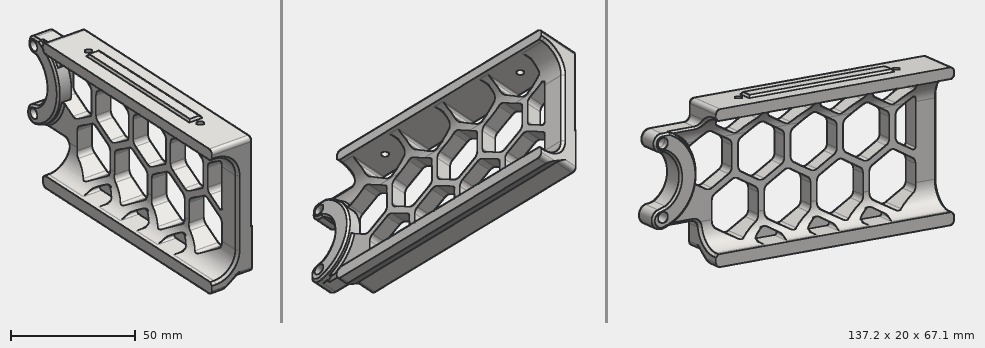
import cadquery as cq
import math

BODY_LEFT, BODY_RIGHT = 23.9, 137.2
BODY_DEPTH = 20.0
BODY_HEIGHT = 66.0
CORNER_RADIUS = 2.0
BACK_LEDGE_Z = 4.3
SLOPE_BACK_Y = -9.2
SLOPE_FRONT_Y = -15.4
BACK_CHAMFER = 0.5

WEB_THICKNESS = 7.4
LOWER_LIP_Z = 5.5
UPPER_LIP_Z = 61.0
LOWER_COVE_RADIUS = 10.7
UPPER_COVE_RADIUS = 11.0
CAVITY_CHAMFER = 1.2

RING_Z = 37.2
RING_OUTER_RADIUS = 21.1
BORE_RADIUS = 13.0
RING_DEPTH = 10.4
RING_CHAMFER = 1.0
RING_FLARE = 1.0
EAR_HOLE_X = 4.8
EAR_HOLE_SPACING = 30.9
EAR_HOLE_DIAMETER = 4.7
UPPER_EAR_RADIUS = 4.0
LOWER_EAR_RADIUS = 4.3
BRIDGE_BORE_X = 6.6
EAR_FILLET = 2.9

EAR_HOLE_OFFSET_Z = EAR_HOLE_SPACING / 2
EAR_TOP_Z = RING_Z + EAR_HOLE_OFFSET_Z + UPPER_EAR_RADIUS
LOWER_EAR_X = LOWER_EAR_RADIUS
LOWER_EAR_DROP = math.sqrt((RING_OUTER_RADIUS - LOWER_EAR_RADIUS) ** 2 - LOWER_EAR_X ** 2)
LOWER_EAR_Z = RING_Z - LOWER_EAR_DROP
EAR_BOTTOM_Z = LOWER_EAR_Z - LOWER_EAR_RADIUS

HEX_WIDTH = 22.0
HEX_PITCH = 25.0
HEX_ROW_PITCH = HEX_PITCH * math.cos(math.radians(30))
HEX_CORNER_RADIUS = 3.0
TRIM_CORNER_RADIUS = 1.0
HEX_CENTRE_X = 78.5
HEX_MIDDLE_Z = 41.1
MIDDLE_ROW_RIGHT = 126.9
UPPER_ROW_RIGHT = 125.6
POCKET_BACK_Y = -9.0

STRIP_LENGTH, STRIP_WIDTH, STRIP_HEIGHT = 69.0, 6.5, 1.1
STRIP_DRAFT = 35.0
TOP_HOLE_DIAMETER = 3.2
TOP_HOLE_SPACING = 3 * HEX_PITCH

SELECT_GAP = 0.07


def box(x0, x1, y0, y1, z0, z1):
    return cq.Workplane("XY").box(x1 - x0, y1 - y0, z1 - z0, centered=False).translate((x0, y0, z0))


def cylinder_y(x, z, radius, depth):
    """Cylinder along Y from the back face forward."""
    return cq.Workplane("XZ").center(x, z).circle(radius).extrude(depth)


def circle_point(x, z, radius, angle):
    a = math.radians(angle)
    return (x + radius * math.cos(a), z + radius * math.sin(a))


def ear_contour():
    """Open path from the foot of the lower ear, round the bore, to the crest of the upper ear."""
    ear_z = RING_Z + EAR_HOLE_OFFSET_Z
    ear_distance = math.hypot(EAR_HOLE_X, EAR_HOLE_OFFSET_Z)
    ear_angle = math.atan2(EAR_HOLE_OFFSET_Z, EAR_HOLE_X)
    bridge_bore = (BRIDGE_BORE_X, RING_Z - math.sqrt(BORE_RADIUS ** 2 - BRIDGE_BORE_X ** 2))
    to_bore_x, to_bore_z = bridge_bore[0] - LOWER_EAR_X, bridge_bore[1] - LOWER_EAR_Z
    tangent_angle = math.atan2(to_bore_z, to_bore_x) + math.acos(
        LOWER_EAR_RADIUS / math.hypot(to_bore_x, to_bore_z)
    )
    bridge_ear = circle_point(LOWER_EAR_X, LOWER_EAR_Z, LOWER_EAR_RADIUS, math.degrees(tangent_angle))
    squares = ear_distance ** 2 + BORE_RADIUS ** 2 - UPPER_EAR_RADIUS ** 2
    cosine = squares / (2 * ear_distance * BORE_RADIUS)
    crossing = circle_point(0, RING_Z, BORE_RADIUS, math.degrees(ear_angle - math.acos(cosine)))
    return (
        cq.Workplane("XZ")
        .moveTo(LOWER_EAR_X, EAR_BOTTOM_Z)
        .threePointArc((LOWER_EAR_X - LOWER_EAR_RADIUS, LOWER_EAR_Z), bridge_ear)
        .lineTo(*bridge_bore)
        .threePointArc((BORE_RADIUS, RING_Z), crossing)
        .threePointArc((EAR_HOLE_X - UPPER_EAR_RADIUS, ear_z), (EAR_HOLE_X, EAR_TOP_Z))
    )


def ring_outline():
    """C-shaped ring with its two ears."""
    top_corner_x = math.sqrt(RING_OUTER_RADIUS ** 2 - (EAR_TOP_Z - RING_Z) ** 2)
    lower_angle = math.degrees(math.atan2(-LOWER_EAR_DROP, LOWER_EAR_X))
    return (
        ear_contour()
        .lineTo(top_corner_x, EAR_TOP_Z)
        .threePointArc((RING_OUTER_RADIUS, RING_Z), circle_point(0, RING_Z, RING_OUTER_RADIUS, lower_angle))
        .tangentArcPoint((LOWER_EAR_X, EAR_BOTTOM_Z), relative=False)
        .close()
    )


def back_outline():
    """Back face of the part: the ear plate running into the rounded body."""
    return (
        ear_contour()
        .lineTo(BODY_LEFT - EAR_FILLET, EAR_TOP_Z)
        .tangentArcPoint((BODY_LEFT, EAR_TOP_Z + EAR_FILLET), relative=False)
        .lineTo(BODY_LEFT, BODY_HEIGHT - CORNER_RADIUS)
        .tangentArcPoint((BODY_LEFT + CORNER_RADIUS, BODY_HEIGHT), relative=False)
        .lineTo(BODY_RIGHT - CORNER_RADIUS, BODY_HEIGHT)
        .tangentArcPoint((BODY_RIGHT, BODY_HEIGHT - CORNER_RADIUS), relative=False)
        .lineTo(BODY_RIGHT, BACK_LEDGE_Z + CORNER_RADIUS)
        .tangentArcPoint((BODY_RIGHT - CORNER_RADIUS, BACK_LEDGE_Z), relative=False)
        .lineTo(BODY_LEFT + CORNER_RADIUS, BACK_LEDGE_Z)
        .tangentArcPoint((BODY_LEFT, BACK_LEDGE_Z + CORNER_RADIUS), relative=False)
        .lineTo(BODY_LEFT, EAR_BOTTOM_Z - EAR_FILLET)
        .tangentArcPoint((BODY_LEFT - EAR_FILLET, EAR_BOTTOM_Z), relative=False)
        .close()
    )


def back_block():
    """Back part of the body with the ear plate, bevelled round its upper back edges only."""
    block = back_outline().extrude(BODY_DEPTH)
    split_z = LOWER_EAR_Z + LOWER_EAR_RADIUS
    lower_half = block.intersect(box(0, BODY_RIGHT, -BODY_DEPTH, 0, 0, split_z))
    upper_half = block.intersect(box(0, BODY_RIGHT, -BODY_DEPTH, 0, split_z, BODY_HEIGHT))
    above_split = cq.selectors.BoxSelector(
        (-SELECT_GAP, -SELECT_GAP, split_z + SELECT_GAP),
        (BODY_RIGHT + SELECT_GAP, SELECT_GAP, BODY_HEIGHT + SELECT_GAP),
    )
    return upper_half.edges(above_split).chamfer(BACK_CHAMFER).union(lower_half)


def lip_block():
    """Front part of the body, bounded below by the sloped underside."""
    block = box(BODY_LEFT, BODY_RIGHT, -BODY_DEPTH, 0, 0, BODY_HEIGHT)
    slope = BACK_LEDGE_Z / (SLOPE_BACK_Y - SLOPE_FRONT_Y)
    slope_top_z = -SLOPE_FRONT_Y * slope
    side = (
        cq.Workplane("YZ")
        .polyline([(SLOPE_FRONT_Y, 0), (-BODY_DEPTH, 0), (-BODY_DEPTH, BODY_HEIGHT / 2),
                   (-BACK_CHAMFER, BODY_HEIGHT / 2), (-BACK_CHAMFER, slope_top_z - BACK_CHAMFER * slope)])
        .close()
        .extrude(BODY_RIGHT)
    )
    return block.edges("|Y").fillet(CORNER_RADIUS).intersect(side)


def cavity():
    """Space between the rails, with a cove running into each lip."""
    half = math.sqrt(0.5)
    web_y = -WEB_THICKNESS
    low_y, low_z = web_y - LOWER_COVE_RADIUS, LOWER_LIP_Z + LOWER_COVE_RADIUS
    high_y, high_z = web_y - UPPER_COVE_RADIUS, UPPER_LIP_Z - UPPER_COVE_RADIUS
    front_y = -BODY_DEPTH
    return (
        cq.Workplane("YZ")
        .moveTo(front_y, LOWER_LIP_Z)
        .lineTo(low_y, LOWER_LIP_Z)
        .threePointArc((low_y + LOWER_COVE_RADIUS * half, low_z - LOWER_COVE_RADIUS * half), (web_y, low_z))
        .lineTo(web_y, high_z)
        .threePointArc((high_y + UPPER_COVE_RADIUS * half, high_z + UPPER_COVE_RADIUS * half),
                       (high_y, UPPER_LIP_Z))
        .lineTo(front_y, UPPER_LIP_Z)
        .close()
        .extrude(BODY_RIGHT)
    )


def chamfer_cavity_rim(body):
    """Bevel the rim of the cavity at both ends and along the ear plate, up to the ear tips."""
    tips = body.intersect(box(0, BRIDGE_BORE_X, -BODY_DEPTH, 0, 0, BODY_HEIGHT))
    body = body.intersect(box(BRIDGE_BORE_X, BODY_RIGHT, -BODY_DEPTH, 0, 0, BODY_HEIGHT))
    rims = [
        (BRIDGE_BORE_X, BODY_LEFT, LOWER_LIP_Z, EAR_BOTTOM_Z),
        (BRIDGE_BORE_X, BODY_LEFT, EAR_TOP_Z, UPPER_LIP_Z),
        (BODY_RIGHT, BODY_RIGHT, LOWER_LIP_Z, UPPER_LIP_Z),
    ]
    for left, right, bottom, top in rims:
        rim = cq.selectors.BoxSelector(
            (left - SELECT_GAP, -BODY_DEPTH - SELECT_GAP, bottom - SELECT_GAP),
            (right + SELECT_GAP, SELECT_GAP - WEB_THICKNESS, top + SELECT_GAP),
        )
        body = body.edges(rim).chamfer(CAVITY_CHAMFER)
    return body.union(tips)


def ring_flare():
    """Cone that widens the foot of the ring where it meets the web."""
    flare = (
        cq.Workplane("XZ", origin=(0, -WEB_THICKNESS, RING_Z))
        .circle(RING_OUTER_RADIUS + RING_FLARE)
        .extrude(RING_FLARE, taper=45)
    )
    flare = flare.cut(cylinder_y(0, RING_Z, RING_OUTER_RADIUS - RING_FLARE, BODY_DEPTH))
    bottom = EAR_BOTTOM_Z + CAVITY_CHAMFER
    top = EAR_TOP_Z - CAVITY_CHAMFER
    return flare.intersect(box(EAR_HOLE_X, BODY_LEFT, -BODY_DEPTH, 0, bottom, top))


def hexagon_cut(x, z, depth):
    """Prism along Y with rounded corners, standing on a corner."""
    hexagon = (
        cq.Workplane("XZ")
        .polyline([circle_point(x, z, HEX_WIDTH / math.sqrt(3), 60 * i + 30) for i in range(6)])
        .close()
        .extrude(depth)
    )
    return hexagon.edges("|Y").fillet(HEX_CORNER_RADIUS)


def trimmed_hexagon_cut(x, z, right_limit=BODY_RIGHT):
    """Hexagon cut off level with the lips or at a right-hand limit, with the new corners rounded."""
    hexagon = hexagon_cut(x, z, BODY_DEPTH)
    window = box(0, right_limit, -BODY_DEPTH, 0, LOWER_LIP_Z, UPPER_LIP_Z)
    trimmed = hexagon.intersect(window)
    inside = cq.selectors.BoxSelector(
        (0, -BODY_DEPTH, LOWER_LIP_Z + SELECT_GAP), (right_limit - SELECT_GAP, 0, UPPER_LIP_Z - SELECT_GAP)
    )
    corners = cq.selectors.SubtractSelector(cq.selectors.ParallelDirSelector(cq.Vector(0, 1, 0)), inside)
    return trimmed.edges(corners).fillet(TRIM_CORNER_RADIUS)


def cut_honeycomb(body):
    """Cut three rows of through openings and a bottom row of shallow pockets."""
    lower_row_z = HEX_MIDDLE_Z - HEX_ROW_PITCH
    upper_row_z = HEX_MIDDLE_Z + HEX_ROW_PITCH
    pocket_row_z = HEX_MIDDLE_Z - 2 * HEX_ROW_PITCH
    for column in (-2, -1, 0, 1):
        body = body.cut(hexagon_cut(HEX_CENTRE_X + column * HEX_PITCH, HEX_MIDDLE_Z, BODY_DEPTH))
    body = body.cut(trimmed_hexagon_cut(HEX_CENTRE_X + 2 * HEX_PITCH, HEX_MIDDLE_Z, MIDDLE_ROW_RIGHT))
    for column in (-1.5, -0.5, 0.5, 1.5):
        x = HEX_CENTRE_X + column * HEX_PITCH
        body = body.cut(hexagon_cut(x, lower_row_z, BODY_DEPTH))
        body = body.cut(trimmed_hexagon_cut(x, upper_row_z, UPPER_ROW_RIGHT))
    in_front_of_back_wall = box(0, BODY_RIGHT, -BODY_DEPTH, POCKET_BACK_Y, 0, BODY_HEIGHT)
    for column in (-1, 0, 1):
        x = HEX_CENTRE_X + column * HEX_PITCH
        body = body.cut(trimmed_hexagon_cut(x, pocket_row_z).intersect(in_front_of_back_wall))
    return body


def ear_holes():
    upper = cylinder_y(EAR_HOLE_X, RING_Z + EAR_HOLE_OFFSET_Z, EAR_HOLE_DIAMETER / 2, BODY_DEPTH)
    lower = cylinder_y(EAR_HOLE_X, RING_Z - EAR_HOLE_OFFSET_Z, EAR_HOLE_DIAMETER / 2, BODY_DEPTH)
    return upper.union(lower)


def clamp_ring():
    """Raised ring, drilled through both ears and bevelled round its front face."""
    ring = ring_outline().extrude(RING_DEPTH).cut(ear_holes())
    front_rim = ring.faces("<Y").val().outerWire().Edges()
    ring = ring.newObject(front_rim).chamfer(RING_CHAMFER)
    return ring.intersect(box(0, BODY_LEFT, -RING_DEPTH, -WEB_THICKNESS / 2, 0, BODY_HEIGHT))


def top_strip():
    return (
        cq.Workplane("XY", origin=(HEX_CENTRE_X, -BODY_DEPTH / 2, BODY_HEIGHT))
        .rect(STRIP_LENGTH, STRIP_WIDTH)
        .extrude(STRIP_HEIGHT, taper=STRIP_DRAFT)
    )


def top_holes():
    return (
        cq.Workplane("XY", origin=(HEX_CENTRE_X, -BODY_DEPTH / 2, UPPER_LIP_Z))
        .pushPoints([(-TOP_HOLE_SPACING / 2, 0), (TOP_HOLE_SPACING / 2, 0)])
        .circle(TOP_HOLE_DIAMETER / 2)
        .extrude(BODY_HEIGHT - UPPER_LIP_Z)
    )


body = back_block().union(lip_block()).cut(cavity())
body = chamfer_cavity_rim(body).union(ring_flare()).cut(ear_holes())
result = cut_honeycomb(body).union(clamp_ring()).union(top_strip()).cut(top_holes())